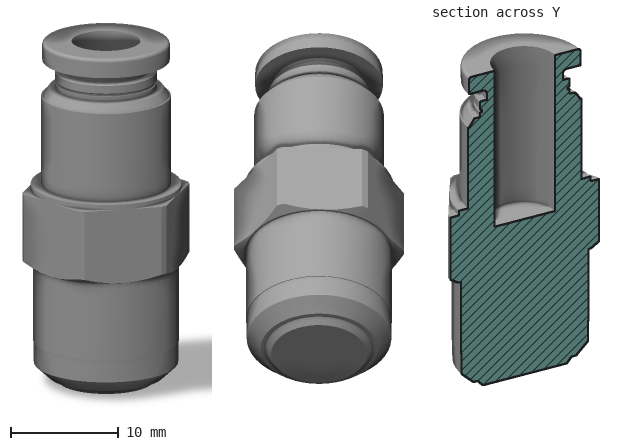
import cadquery as cq
import math


total_height = 32.95
tip_top = 0.6
cone_top = 1.8
thread_bottom = 3.95
hex_bottom = 11.5
hex_top = 18.65
flange_top = 19.15
body_top = 27.68
lip_top = 27.85
sleeve_bottom = 28.47
groove_bottom = 28.95
groove_top = 29.15
ring_top = 30.1
collar_bottom = 31.15

tip_bottom_radius = 4.45
tip_top_radius = 4.98
cone_bottom_radius = 5.45
lead_radius = 6.72
thread_radius = 6.8
body_radius = 6.03
shoulder_radius = 5.85
lip_radius = 5.75
body_end_radius = 5.35
ring_radius = 4.75
groove_radius = 4.55
neck_radius = 4.05
collar_radius = 5.93
bore_radius = 3.2

across_flats = 14.0
corner_diameter = 15.8
hex_chamfer_height = 0.55

collar_round = 0.33
neck_chamfer = 0.23
ring_chamfer = 0.1
bore_depth = 16.48

hex_inner_radius = across_flats / 2
hex_corner_radius = corner_diameter / 2
hex_point_diameter = across_flats / math.cos(math.radians(30))


def revolve_profile(points):
    """Turn (radius, height) points, closed along the axis, around Z."""
    return cq.Workplane("XZ").polyline(points).close().revolve(360, (0, 0, 0), (0, 1, 0))


def make_threaded_end():
    return revolve_profile([
        (0, 0),
        (tip_bottom_radius, 0),
        (tip_top_radius, tip_top),
        (cone_bottom_radius, tip_top),
        (lead_radius, cone_top),
        (lead_radius, thread_bottom),
        (thread_radius, thread_bottom),
        (thread_radius, hex_bottom),
        (0, hex_bottom),
    ])


def make_hexagon():
    prism = (
        cq.Workplane("XY", origin=(0, 0, hex_bottom))
        .polygon(6, hex_point_diameter)
        .extrude(hex_top - hex_bottom)
    )
    envelope = revolve_profile([
        (0, hex_bottom),
        (hex_inner_radius, hex_bottom),
        (hex_corner_radius, hex_bottom + hex_chamfer_height),
        (hex_corner_radius, hex_top),
        (0, hex_top),
    ])
    return prism.intersect(envelope)


def make_body():
    return revolve_profile([
        (0, hex_top),
        (hex_inner_radius, hex_top),
        (hex_inner_radius, flange_top),
        (body_radius, flange_top),
        (body_radius, body_top),
        (shoulder_radius, body_top),
        (lip_radius, lip_top),
        (body_end_radius, sleeve_bottom),
        (0, sleeve_bottom),
    ])


def make_release_sleeve():
    sleeve = revolve_profile([
        (0, sleeve_bottom),
        (ring_radius, sleeve_bottom),
        (ring_radius, groove_bottom),
        (groove_radius, groove_bottom),
        (groove_radius, groove_top),
        (ring_radius - ring_chamfer, groove_top),
        (ring_radius, groove_top + ring_chamfer),
        (ring_radius, ring_top - ring_chamfer),
        (ring_radius - ring_chamfer, ring_top),
        (neck_radius, ring_top),
        (neck_radius, collar_bottom - neck_chamfer),
        (neck_radius + neck_chamfer, collar_bottom),
        (collar_radius, collar_bottom),
        (collar_radius, total_height),
        (0, total_height),
    ])
    return sleeve.faces(">Z").edges().fillet(collar_round)


def make_tube_bore():
    return (
        cq.Workplane("XY", origin=(0, 0, total_height - bore_depth))
        .circle(bore_radius)
        .extrude(bore_depth)
    )


result = (
    make_threaded_end()
    .union(make_hexagon())
    .union(make_body())
    .union(make_release_sleeve())
    .cut(make_tube_bore())
)